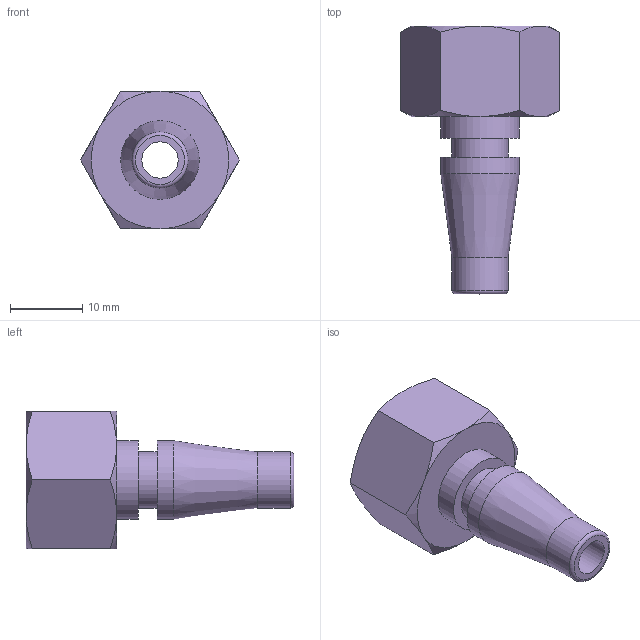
import cadquery as cq
import math

across_flats = 19.0
hex_length = 12.5
corner_chamfer_angle = 30.0

collar_diameter = 10.85
collar_length = 3.0
neck_diameter = 7.75
groove_length = 2.6
shoulder_length = 2.3
taper_length = 11.6
tip_length = 5.0
tip_rounding = 0.5

bore_diameter = 5.0

collar_start = -hex_length
groove_start = collar_start - collar_length
shoulder_start = groove_start - groove_length
taper_start = shoulder_start - shoulder_length
tip_start = taper_start - taper_length
tip_end = tip_start - tip_length


def revolve_about_y(profile):
    """Turn a closed profile in the XY plane into a solid about the Y axis."""
    return profile.revolve(360, (0, 0, 0), (0, 1, 0))


def make_head():
    """Hexagonal prism with corners along X, cone-chamfered at both ends."""
    across_corners = across_flats / math.cos(math.radians(30))
    flat_radius = across_flats / 2
    corner_radius = across_corners / 2
    chamfer_depth = (corner_radius - flat_radius) * math.tan(math.radians(corner_chamfer_angle))
    prism = cq.Workplane("XZ").polygon(6, across_corners).extrude(hex_length)
    envelope = revolve_about_y(
        cq.Workplane("XY")
        .moveTo(0, 0)
        .lineTo(flat_radius, 0)
        .lineTo(corner_radius, -chamfer_depth)
        .lineTo(corner_radius, chamfer_depth - hex_length)
        .lineTo(flat_radius, -hex_length)
        .lineTo(0, -hex_length)
        .close()
    )
    return prism.intersect(envelope)


def make_stem():
    """Turned stem: collar, groove, shoulder, taper and rounded tip."""
    collar_radius = collar_diameter / 2
    neck_radius = neck_diameter / 2
    profile = (
        cq.Workplane("XY")
        .moveTo(0, collar_start)
        .lineTo(collar_radius, collar_start)
        .lineTo(collar_radius, groove_start)
        .lineTo(neck_radius, groove_start)
        .lineTo(neck_radius, shoulder_start)
        .lineTo(collar_radius, shoulder_start)
        .lineTo(collar_radius, taper_start)
        .lineTo(neck_radius, tip_start)
        .lineTo(neck_radius, tip_end)
        .lineTo(0, tip_end)
        .close()
    )
    return revolve_about_y(profile).faces("<Y").edges().fillet(tip_rounding)


def make_bore():
    """Straight passage through the whole part."""
    return cq.Workplane("XZ").circle(bore_diameter / 2).extrude(-tip_end)


result = make_head().union(make_stem()).cut(make_bore())